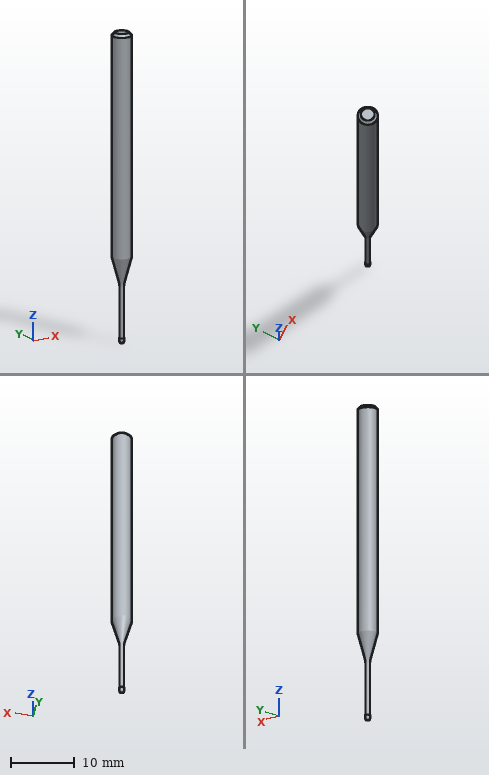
import cadquery as cq
import math

overall_length = 50.8
shank_diameter = 3.175

chamfer_width = 0.5
chamfer_height = 0.5

ball_diameter = 0.79
cutting_length = 0.85

neck_diameter = 0.75
neck_reach = 9.525
neck_flare_length = 0.25
neck_flare_diameter = ball_diameter

taper_bottom_diameter = 0.95
taper_bottom = 10.0
taper_top = 14.1

shank_radius = shank_diameter / 2
ball_radius = ball_diameter / 2


def make_holder():
    """Chamfered shank, taper, blend and neck, turned about the Z axis."""
    profile = (
        cq.Workplane("XZ")
        .moveTo(0, cutting_length)
        .lineTo(neck_diameter / 2, cutting_length)
        .lineTo(neck_diameter / 2, neck_reach - neck_flare_length)
        .lineTo(neck_flare_diameter / 2, neck_reach)
        .tangentArcPoint((taper_bottom_diameter / 2, taper_bottom), relative=False)
        .lineTo(shank_radius, taper_top)
        .lineTo(shank_radius, overall_length - chamfer_height)
        .lineTo(shank_radius - chamfer_width, overall_length)
        .lineTo(0, overall_length)
        .close()
    )
    return profile.revolve(360, (0, 0, 0), (0, 1, 0))


def make_cutting_tip():
    """Short cylinder ending in a hemisphere whose lowest point is at Z = 0."""
    diagonal = ball_radius * math.sin(math.radians(45))
    profile = (
        cq.Workplane("XZ")
        .moveTo(0, 0)
        .threePointArc((diagonal, ball_radius - diagonal), (ball_radius, ball_radius))
        .lineTo(ball_radius, cutting_length)
        .lineTo(0, cutting_length)
        .close()
    )
    return profile.revolve(360, (0, 0, 0), (0, 1, 0))


holder = make_holder()
cutting_tip = make_cutting_tip()

result = cq.Compound.makeCompound([holder.val(), cutting_tip.val()])